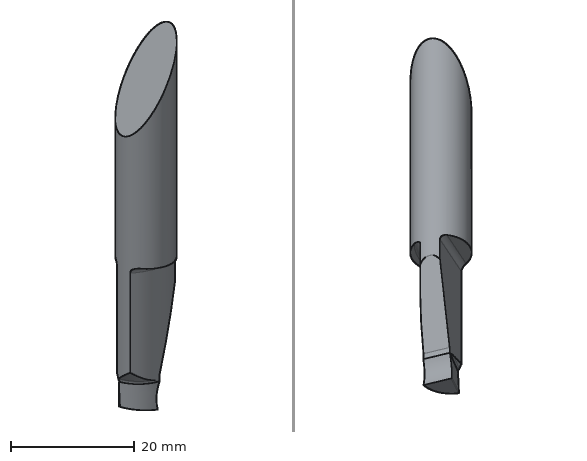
import cadquery as cq
import math


shank_radius = 5.0
shank_length = 40.0
end_slant_angle = 60.0

overhang = 25.91
neck_length = 21.05
neck_flat_x = -1.7
neck_outer_x = 2.9
neck_outer_radius = 9.9
shoulder_fillet = 1.0
back_taper_start = 3.9
back_taper_end = 19.9
back_end_y = 0.5

transition_angle = 30.0
transition_fillet = 1.2

flank_front = (-1.1, -4.75)
flank_back = (-1.75, 0.5)
outer_back = (2.9, 0.5)
front_radius = 5.3

tip_flare_angle = 2.3
tip_envelope_radius = 4.88
end_relief_angle = 6.0
cutting_edge_y = 0.0
rake_middle = (-0.22, -23.9)
nose_radius = 0.12

trim_size = 20.0


chord_x = outer_back[0] - flank_front[0]
chord_y = outer_back[1] - flank_front[1]
chord = math.hypot(chord_x, chord_y)
centre_offset = math.sqrt(front_radius**2 - (chord / 2) ** 2)
front_centre = (
    flank_front[0] + chord_x / 2 - centre_offset * chord_y / chord,
    flank_front[1] + chord_y / 2 + centre_offset * chord_x / chord,
)
flank_outward = (flank_front[1] - flank_back[1], flank_back[0] - flank_front[0])


def side_prism(points):
    """Polygon of (Y, Z) points, extruded along X past both sides of the bar."""
    return cq.Workplane("YZ").polyline(points).close().extrude(trim_size, both=True)


def flat_wall(profile, point, outward):
    """Solid behind an upright wall through a point; the profile gives the wall's shape over Z."""
    out_x, out_y = outward
    plane = cq.Plane(origin=(*point, 0), xDir=(out_x, out_y, 0), normal=(out_y, -out_x, 0))
    return profile(cq.Workplane(plane), -trim_size, 0).extrude(trim_size, both=True)


def round_wall(profile, centre, radius):
    """Solid inside a round wall; the profile gives the wall's shape over Z."""
    plane = cq.Plane(origin=(*centre, 0), xDir=(1, 0, 0), normal=(0, -1, 0))
    return profile(cq.Workplane(plane), 0, radius).revolve(360, (0, 0, 0), (0, 1, 0))


def neck_profile(sketch, inside, wall):
    """Straight wall that flares into the shoulder with a fillet."""
    r = shoulder_fillet
    bulge = r * (1 - math.sqrt(0.5))
    return (
        sketch.moveTo(inside, -neck_length)
        .lineTo(wall, -neck_length)
        .lineTo(wall, -r)
        .threePointArc((wall + bulge, -bulge), (wall + r, 0))
        .lineTo(inside, 0)
        .close()
    )


def transition_profile(sketch, inside, wall):
    """Wall that leaves the joint upright, curves outward and rises to the shoulder on a slope."""
    r = transition_fillet
    angle = math.radians(transition_angle)

    def on_fillet(a):
        return (wall + r * (1 - math.cos(a)), -neck_length + r * math.sin(a))

    slope_x, slope_z = on_fillet(angle)
    return (
        sketch.moveTo(inside, -neck_length)
        .lineTo(wall, -neck_length)
        .threePointArc(on_fillet(angle / 2), (slope_x, slope_z))
        .lineTo(slope_x - slope_z * math.tan(angle), 0)
        .lineTo(inside, 0)
        .close()
    )


def tip_profile(sketch, inside, wall):
    """Wall that spreads slightly from the joint down to the cutting edge."""
    flare = (overhang - neck_length) * math.tan(math.radians(tip_flare_angle))
    return (
        sketch.moveTo(inside, -neck_length)
        .lineTo(wall, -neck_length)
        .lineTo(wall + flare, -overhang)
        .lineTo(inside, -overhang)
        .close()
    )


def make_shank():
    slant_drop = 2 * shank_radius * math.tan(math.radians(end_slant_angle))
    slant = side_prism([
        (shank_radius, shank_length),
        (-shank_radius, shank_length),
        (-shank_radius, shank_length - slant_drop),
    ])
    return cq.Workplane("XY").circle(shank_radius).extrude(shank_length).cut(slant)


def make_neck():
    outer_centre = (neck_outer_x - neck_outer_radius, 0)
    back = side_prism([
        (-trim_size, 0),
        (shank_radius, 0),
        (shank_radius, -back_taper_start),
        (back_end_y, -back_taper_end),
        (back_end_y, -neck_length),
        (-trim_size, -neck_length),
    ])
    return (
        cq.Workplane("XY").circle(shank_radius).extrude(-neck_length)
        .intersect(flat_wall(neck_profile, (neck_flat_x, 0), (-1, 0)))
        .intersect(round_wall(neck_profile, outer_centre, neck_outer_radius))
        .intersect(back)
        .intersect(flat_wall(transition_profile, flank_front, flank_outward))
        .intersect(round_wall(transition_profile, front_centre, front_radius))
    )


def make_holder():
    return make_shank().union(make_neck())


def make_tip():
    """Tip with flared walls, a hollow rake face at the back and a relieved lower end."""
    relief_rise = (cutting_edge_y + trim_size) * math.tan(math.radians(end_relief_angle))
    rake_and_relief = (
        cq.Workplane("YZ")
        .moveTo(back_end_y, -neck_length)
        .threePointArc(rake_middle, (cutting_edge_y, -overhang))
        .lineTo(-trim_size, -overhang + relief_rise)
        .lineTo(-trim_size, -neck_length)
        .close()
        .extrude(trim_size, both=True)
    )
    tip = (
        flat_wall(tip_profile, flank_front, flank_outward)
        .intersect(round_wall(tip_profile, front_centre, front_radius))
        .intersect(rake_and_relief)
        .intersect(cq.Workplane("XY").circle(tip_envelope_radius).extrude(-overhang))
    )
    return tip.faces("<Z").edges("<X or >X").fillet(nose_radius)


holder = make_holder()
tip = make_tip()

result = cq.Compound.makeCompound([holder.solids().val(), tip.solids().val()])